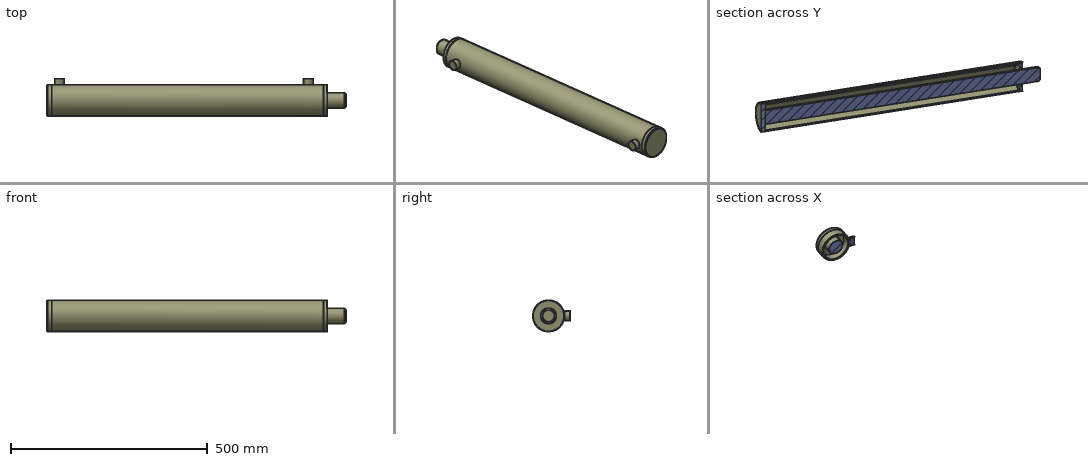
import cadquery as cq

outer_radius = 40.0
bore_radius = 35.0
body_length = 712.0
cap_length = 12.0
cap_chamfer = 2.0
gland_length = 9.0
ring_length = 1.0

rod_radius = 20.0
rod_tip_x = 760.0
rod_chamfer = 5.0

port_radius = 12.5
port_height = 15.0
rear_port_x = 32.0
front_port_inset = 48.0

gland_start = body_length - gland_length
ring_start = gland_start - ring_length
port_places = [rear_port_x, body_length - front_port_inset]


def axial_cylinder(start, end, radius):
    """Solid cylinder on the X axis."""
    return cq.Workplane("YZ", origin=(start, 0, 0)).circle(radius).extrude(end - start)


def sleeve(start, end, inner_radius):
    """Ring around the X axis, as wide as the cylinder body."""
    return (
        cq.Workplane("YZ", origin=(start, 0, 0))
        .circle(outer_radius)
        .circle(inner_radius)
        .extrude(end - start)
    )


def make_cap():
    """Rear closing disc with a chamfered rear rim."""
    return axial_cylinder(0, cap_length, outer_radius).faces("<X").chamfer(cap_chamfer)


def make_barrel():
    """Tube between the cap and the seal ring."""
    return sleeve(cap_length, ring_start, bore_radius)


def make_seal_ring():
    """Thin ring clamped between the barrel and the gland."""
    return sleeve(ring_start, gland_start, bore_radius)


def make_gland():
    """Front closing disc, with a hole that the rod runs through."""
    return sleeve(gland_start, body_length, rod_radius)


def make_rod():
    """Rod from the inner face of the cap out through the gland, with a chamfered tip."""
    return axial_cylinder(cap_length, rod_tip_x, rod_radius).faces(">X").chamfer(rod_chamfer)


def make_port(x):
    """Flat-ended round boss standing on the +Y side of the barrel."""
    return cq.Workplane("XZ", origin=(x, outer_radius, 0)).circle(port_radius).extrude(-port_height)


cap = make_cap()
barrel = make_barrel()
seal_ring = make_seal_ring()
gland = make_gland()
rod = make_rod()
ports = [make_port(x) for x in port_places]

result = cq.Compound.makeCompound([
    cap.val(),
    barrel.val(),
    seal_ring.val(),
    gland.val(),
    rod.val(),
    *[port.val() for port in ports],
])